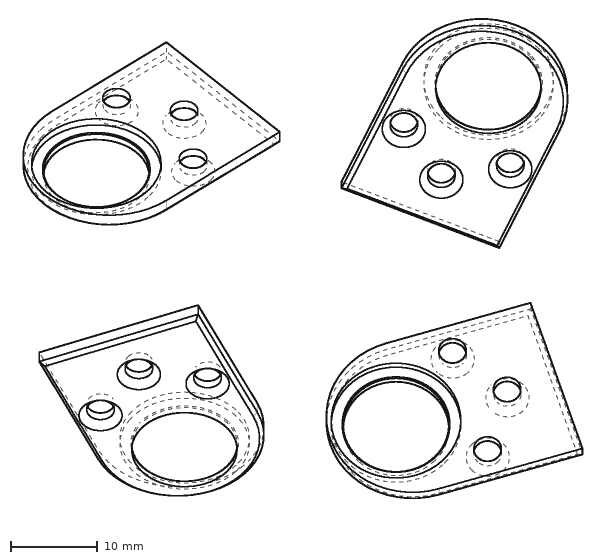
import cadquery as cq

width = 20.0
length = 27.5
thickness = 2.0
bottom_chamfer = 0.5
end_radius = width / 2
back_y = length - end_radius

seat_y = -2.0
seat_radius = 7.5
seat_depth = 1.0
bore_radius = 6.1
bore_chamfer = 0.15

hole_radius = 1.6
countersink_radius = 2.5
countersink_depth = 0.9
side_hole_x = 6.75
side_hole_offset = 9.0
middle_hole_offset = 13.5
hole_centres = [
    (-side_hole_x, seat_y + side_hole_offset),
    (0, seat_y + middle_hole_offset),
    (side_hole_x, seat_y + side_hole_offset),
]


def make_plate():
    """D-shaped plate with its lower outer edge chamfered."""
    plate = (
        cq.Workplane("XY")
        .moveTo(-end_radius, back_y)
        .lineTo(-end_radius, 0)
        .threePointArc((0, -end_radius), (end_radius, 0))
        .lineTo(end_radius, back_y)
        .close()
        .extrude(thickness)
    )
    return plate.faces("<Z").edges().chamfer(bottom_chamfer)


def make_seat_cutter():
    """Recess from the top, with a through bore broken at its upper edge."""
    floor_z = thickness - seat_depth
    profile = (
        cq.Workplane("XZ")
        .moveTo(0, 0)
        .lineTo(bore_radius, 0)
        .lineTo(bore_radius, floor_z - bore_chamfer)
        .lineTo(bore_radius + bore_chamfer, floor_z)
        .lineTo(seat_radius, floor_z)
        .lineTo(seat_radius, thickness)
        .lineTo(0, thickness)
        .close()
    )
    return profile.revolve(360, (0, 0), (0, 1)).translate((0, seat_y, 0))


def make_hole_cutter(centre_x, centre_y):
    """Through hole with a conical countersink opening on the underside."""
    profile = (
        cq.Workplane("XZ")
        .moveTo(0, 0)
        .lineTo(countersink_radius, 0)
        .lineTo(hole_radius, countersink_depth)
        .lineTo(hole_radius, thickness)
        .lineTo(0, thickness)
        .close()
    )
    return profile.revolve(360, (0, 0), (0, 1)).translate((centre_x, centre_y, 0))


result = make_plate().cut(make_seat_cutter())
for hole_x, hole_y in hole_centres:
    result = result.cut(make_hole_cutter(hole_x, hole_y))